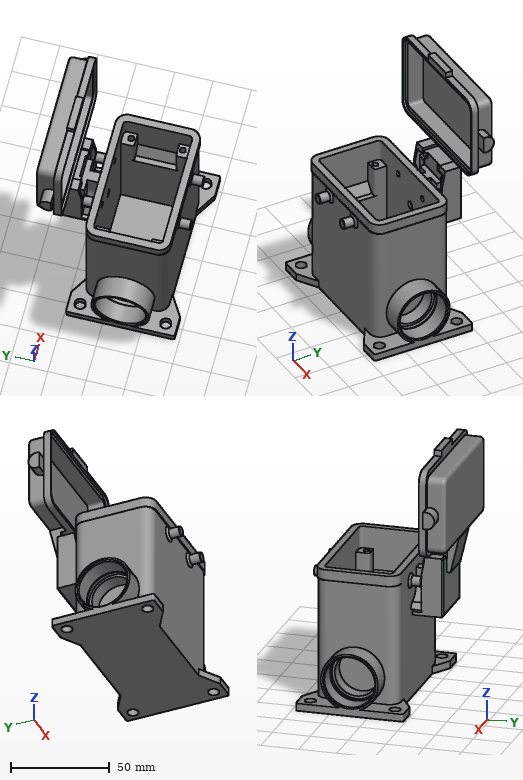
import cadquery as cq

BODY_X = 70.6
BODY_Y = 44.0
BODY_TOP = 73.2
BODY_RADIUS = 6.0
WALL = 4.0
CAVITY_RADIUS = 2.0
FLOOR = 4.0
RIM_HEIGHT = 5.6
RIM_STEP = 0.5
RIM_SIDE_STEP = 0.1

CAVITY_X = BODY_X - 2 * WALL
CAVITY_Y = BODY_Y - 2 * WALL
FRONT_Y = -BODY_Y / 2
BACK_Y = BODY_Y / 2

FLANGE_X = 93.5
FLANGE_Y = 56.7
FLANGE_THICK = 4.0
FLANGE_RADIUS = 1.1
FLANGE_TIP_X = 24.0
MOUNT_HOLE_DIA = 5.8
MOUNT_PITCH_X = 81.6
MOUNT_PITCH_Y = 44.7

POST_SIZE = 7.1
POST_RADIUS = 1.1
POST_TOP = 61.5
SCREW_HOLE_DIA = 3.1
SCREW_HOLE_DEPTH = 10.7
SCREW_PITCH_X = 56.5
SCREW_PITCH_Y = 27.0
LEDGE_TOP = 50.4
LEDGE_LOW = 45.2
LEDGE_SLOPE_X = 4.0

PORT_Z = 18.0
PORT_RADIUS = 15.1
PORT_BORE_RADIUS = 13.4
PORT_BORE_DEPTH = 10.4
PORT_CHAMFER = 0.7
PORT_NECK_RADIUS = 13.0
PORT_NECK_DEPTH = 12.6
KNOCKOUT_RADIUS = 11.5
KNOCKOUT_WALL = 2.0

PIN_X = 12.7
PIN_Z = 63.5
PIN_RADIUS = 2.61
PIN_TIP_CHAMFER = 0.3
PIN_COLLAR_RADIUS = 4.0
PIN_COLLAR_LENGTH = 1.1
FRONT_PIN_TIP = FLANGE_Y / 2
REAR_PIN_TIP = 28.1
RIVET_RADIUS = 1.5
RIVET_DEPTH = 1.3
HINGE_RIVET_RADIUS = 2.0
HINGE_RIVET_Z = 52.0

HINGE_X = 29.7
HINGE_FRONT_Y = 28.4
HINGE_BACK_Y = 39.9
HINGE_BOTTOM = 46.0
HINGE_TOP = 77.6
HINGE_CHAMFER = 0.8
HINGE_SLANT_Z = 68.2
HINGE_SLANT_Y = 30.1
HINGE_FOOT_Y = 23.7
HINGE_FOOT_THICK = 1.7
CHEEK = 1.6
HINGE_ROOF = 3.0
HINGE_BACK_WALL = 2.0
HINGE_CORE_TOP = 67.1
KNUCKLE_TOP = 74.2
KNUCKLE_FRONT_TOP = 70.2
KNUCKLE_FRONT_Y = 30.8
ARM_X = 17.7
NOTCH_DEPTH = 1.5
WINDOW_X = 11.8
WINDOW_Y = 31.4
WINDOW_FRAME_Y = 30.5
WINDOW_FRAME_BOTTOM = 72.9

LUG_TOP_X = 2.8
LUG_BEND_X = 5.0
LUG_SHOULDER_X = 9.9
LUG_BOTTOM_X = 12.7
LUG_FLARE_Z = 59.0
LUG_BEND_Z = 53.5
LUG_SHOULDER_Z = 51.1
LUG_BOTTOM = 48.0

LID_Z = 107.5
LID_RIM_X = 72.8
LID_RIM_Z = 46.3
LID_RIM_RADIUS = 6.2
LID_FRONT_Y = 33.5
LID_RIM_THICK = 3.9
LID_SHELL_X = 68.9
LID_SHELL_Z = 40.9
LID_SHELL_RADIUS = 3.6
LID_BACK_Y = 47.0
LID_EDGE_FILLET = 2.0
LID_LIP = 1.1
LID_LIP_DEPTH = 1.3
LID_POCKET_X = 65.5
LID_POCKET_Z = 39.2
LID_POCKET_RADIUS = 1.7
LID_FLOOR = 3.2
TAB_X = 18.5
TAB_TOP = 133.8
EAR_X = 83.7
EAR_RADIUS = 4.61
EAR_BACK_Y = 43.3
ARM_TOP_BACK_Y = 46.3
ARM_BOTTOM_BACK_Y = 41.9
ARM_FRONT_Y = 40.1
ARM_BOTTOM = 68.5


def box(x_range, y_range, z_range):
    """Axis-aligned block given by its limits."""
    size = [high - low for low, high in (x_range, y_range, z_range)]
    corner = cq.Vector(x_range[0], y_range[0], z_range[0])
    return cq.Workplane(cq.Solid.makeBox(*size, corner))


def rounded_block(x, y, radius, z_low, z_high):
    """Upright block with rounded vertical edges, centred on the Z axis."""
    block = box((-x / 2, x / 2), (-y / 2, y / 2), (z_low, z_high))
    return block.edges("|Z").fillet(radius)


def rod(center, direction, radius, length):
    return cq.Workplane(cq.Solid.makeCylinder(radius, length, cq.Vector(*center), cq.Vector(*direction)))


def lid_slab(x, z, radius, y_low, y_high):
    """Slab of the lid with rounded corners, centred on the lid."""
    slab = box((-x / 2, x / 2), (y_low, y_high), (LID_Z - z / 2, LID_Z + z / 2))
    return slab.edges("|Y").fillet(radius)


def side_profile(points, x_low, x_high):
    """Extrude a closed (Y, Z) outline along X."""
    return cq.Workplane("YZ").workplane(offset=x_low).polyline(points).close().extrude(x_high - x_low)


def both_sides(shape):
    return shape.union(shape.mirror("YZ"))


def make_flange():
    half_x, half_y = FLANGE_X / 2, FLANGE_Y / 2
    plate = box((-half_x, half_x), (-half_y, half_y), (0, FLANGE_THICK))
    plate = plate.edges("|Z").fillet(FLANGE_RADIUS)
    relief = (
        cq.Workplane("XY")
        .polyline([
            (-BODY_X / 2, half_y),
            (-FLANGE_TIP_X, BACK_Y - RIM_STEP),
            (FLANGE_TIP_X, BACK_Y - RIM_STEP),
            (BODY_X / 2, half_y),
        ])
        .close()
        .extrude(FLANGE_THICK)
    )
    plate = plate.cut(relief).cut(relief.mirror("XZ"))
    holes = (
        cq.Workplane("XY")
        .rect(MOUNT_PITCH_X, MOUNT_PITCH_Y, forConstruction=True)
        .vertices()
        .circle(MOUNT_HOLE_DIA / 2)
        .extrude(FLANGE_THICK)
    )
    return plate.cut(holes)


def make_shell():
    rim_bottom = BODY_TOP - RIM_HEIGHT
    rim = rounded_block(BODY_X, BODY_Y, BODY_RADIUS, rim_bottom, BODY_TOP)
    lower = rounded_block(BODY_X - 2 * RIM_SIDE_STEP, BODY_Y - RIM_STEP, BODY_RADIUS, 0, rim_bottom)
    return rim.union(lower.translate((0, RIM_STEP / 2, 0)))


def make_cavity():
    """Inner space of the housing, leaving the four posts and two ledges."""
    cavity = rounded_block(CAVITY_X, CAVITY_Y, CAVITY_RADIUS, FLOOR, BODY_TOP)
    wall_x = CAVITY_X / 2
    inner_x = wall_x - POST_SIZE
    wall_y = CAVITY_Y / 2
    post = box((inner_x, wall_x), (wall_y - POST_SIZE, wall_y), (FLOOR, POST_TOP))
    post = post.edges("|Z and <X and <Y").fillet(POST_RADIUS)
    ledge = (
        cq.Workplane("XZ", origin=(0, wall_y, 0))
        .polyline([
            (inner_x, FLOOR),
            (wall_x, FLOOR),
            (wall_x, LEDGE_TOP),
            (wall_x - LEDGE_SLOPE_X, LEDGE_LOW),
            (inner_x, LEDGE_LOW),
        ])
        .close()
        .extrude(CAVITY_Y)
    )
    inside = both_sides(ledge.union(post).union(post.mirror("XZ")))
    return cavity.cut(inside)


def make_screw_holes():
    return (
        cq.Workplane("XY", origin=(0, 0, POST_TOP - SCREW_HOLE_DEPTH))
        .rect(SCREW_PITCH_X, SCREW_PITCH_Y, forConstruction=True)
        .vertices()
        .circle(SCREW_HOLE_DIA / 2)
        .extrude(SCREW_HOLE_DEPTH)
    )


def make_port_tubes():
    root_x = BODY_X / 2 - WALL / 2
    length = FLANGE_X / 2 - root_x
    tube = rod((root_x, 0, PORT_Z), (1, 0, 0), PORT_RADIUS, length)
    return both_sides(tube)


def make_port_bores():
    """Stepped blind bores with a chamfered mouth."""
    mouth = (FLANGE_X / 2, 0, PORT_Z)
    inward = (-1, 0, 0)
    bore = rod(mouth, inward, PORT_BORE_RADIUS, PORT_BORE_DEPTH)
    neck = rod(mouth, inward, PORT_NECK_RADIUS, PORT_NECK_DEPTH)
    knockout_end = CAVITY_X / 2 - POST_SIZE + KNOCKOUT_WALL
    knockout = rod(mouth, inward, KNOCKOUT_RADIUS, FLANGE_X / 2 - knockout_end)
    chamfer = cq.Workplane(cq.Solid.makeCone(
        PORT_BORE_RADIUS + PORT_CHAMFER, PORT_BORE_RADIUS, PORT_CHAMFER,
        cq.Vector(*mouth), cq.Vector(*inward),
    ))
    return both_sides(bore.union(neck).union(knockout).union(chamfer))


def make_pin(root_y, length, outward):
    """Latch pin with a conical collar, standing on the wall at root_y."""
    root = (PIN_X, root_y, PIN_Z)
    direction = (0, outward, 0)
    pin = rod(root, direction, PIN_RADIUS, length)
    pin = pin.faces(">Y" if outward > 0 else "<Y").chamfer(PIN_TIP_CHAMFER)
    collar = cq.Workplane(cq.Solid.makeCone(
        PIN_COLLAR_RADIUS, PIN_RADIUS, PIN_COLLAR_LENGTH, cq.Vector(*root), cq.Vector(*direction),
    ))
    return pin.union(collar)


def make_pins():
    front_root = FRONT_Y + RIM_STEP
    front = make_pin(front_root, FRONT_PIN_TIP + front_root, -1)
    rear = make_pin(BACK_Y, REAR_PIN_TIP - BACK_Y, 1)
    return both_sides(front).union(both_sides(rear))


def make_rivet_recesses():
    """Shallow round recesses on the inner rear wall."""
    inner_y = CAVITY_Y / 2
    outward = (0, 1, 0)
    pin_recess = rod((PIN_X, inner_y, PIN_Z), outward, RIVET_RADIUS, RIVET_DEPTH)
    hinge_recess = rod((0, inner_y, HINGE_RIVET_Z), outward, HINGE_RIVET_RADIUS, RIVET_DEPTH)
    return both_sides(pin_recess).union(hinge_recess)


def make_hinge():
    half_x = HINGE_X / 2
    foot_top = HINGE_BOTTOM + HINGE_FOOT_THICK
    block = side_profile(
        [
            (HINGE_BACK_Y, HINGE_BOTTOM),
            (HINGE_BACK_Y, HINGE_TOP),
            (HINGE_SLANT_Y, HINGE_TOP),
            (HINGE_FRONT_Y, HINGE_SLANT_Z),
            (HINGE_FRONT_Y, foot_top),
            (HINGE_FOOT_Y, foot_top),
            (HINGE_FOOT_Y, HINGE_BOTTOM),
        ],
        -half_x, half_x,
    )
    block = block.faces(">Y").edges().chamfer(HINGE_CHAMFER)

    pocket_x = half_x - CHEEK
    pocket_back = HINGE_BACK_Y - HINGE_BACK_WALL
    notch_floor = HINGE_TOP - NOTCH_DEPTH
    arm_x = (-ARM_X / 2, ARM_X / 2)

    pocket = box((ARM_X / 2, pocket_x), (HINGE_FRONT_Y, pocket_back), (foot_top, HINGE_TOP - HINGE_ROOF))
    knuckle = side_profile(
        [
            (KNUCKLE_FRONT_Y, foot_top),
            (pocket_back, foot_top),
            (pocket_back, KNUCKLE_TOP),
            (KNUCKLE_FRONT_Y, KNUCKLE_FRONT_TOP),
        ],
        ARM_X / 2, pocket_x,
    )

    notch = box(arm_x, (HINGE_FRONT_Y, HINGE_BACK_Y), (notch_floor, HINGE_TOP))
    frame_gap = box(arm_x, (HINGE_FRONT_Y, WINDOW_FRAME_Y), (HINGE_CORE_TOP, HINGE_TOP))
    below_teeth = box(arm_x, (HINGE_FRONT_Y, WINDOW_Y), (HINGE_CORE_TOP, WINDOW_FRAME_BOTTOM))
    window = box((-WINDOW_X / 2, WINDOW_X / 2), (HINGE_FRONT_Y, WINDOW_Y), (HINGE_CORE_TOP, HINGE_TOP))

    block = block.cut(pocket).cut(pocket.mirror("YZ"))
    block = block.cut(notch).cut(frame_gap).cut(below_teeth).cut(window)
    return block.union(knuckle).union(knuckle.mirror("YZ"))


def make_hinge_lug():
    """Upright lug on the rear wall, flaring out to both sides at its base."""
    return (
        cq.Workplane("XZ", origin=(0, HINGE_FRONT_Y, 0))
        .moveTo(-LUG_TOP_X, HINGE_CORE_TOP)
        .lineTo(LUG_TOP_X, HINGE_CORE_TOP)
        .lineTo(LUG_TOP_X, LUG_FLARE_Z)
        .threePointArc((LUG_BEND_X, LUG_BEND_Z), (LUG_SHOULDER_X, LUG_SHOULDER_Z))
        .lineTo(LUG_BOTTOM_X, LUG_BOTTOM)
        .lineTo(-LUG_BOTTOM_X, LUG_BOTTOM)
        .lineTo(-LUG_SHOULDER_X, LUG_SHOULDER_Z)
        .threePointArc((-LUG_BEND_X, LUG_BEND_Z), (-LUG_TOP_X, LUG_FLARE_Z))
        .close()
        .extrude(HINGE_FRONT_Y - BACK_Y)
    )


def make_arm():
    """Tapered arm from the lid shell down to the hinge."""
    shell_bottom = LID_Z - LID_SHELL_Z / 2
    rim_bottom = LID_Z - LID_RIM_Z / 2
    return side_profile(
        [
            (ARM_TOP_BACK_Y, shell_bottom),
            (ARM_BOTTOM_BACK_Y, ARM_BOTTOM),
            (HINGE_BACK_Y, ARM_BOTTOM),
            (HINGE_BACK_Y, HINGE_TOP - NOTCH_DEPTH),
            (ARM_FRONT_Y, HINGE_TOP - NOTCH_DEPTH),
            (ARM_FRONT_Y, rim_bottom),
            (LID_FRONT_Y + LID_RIM_THICK, rim_bottom),
            (LID_FRONT_Y + LID_RIM_THICK, shell_bottom),
        ],
        -ARM_X / 2, ARM_X / 2,
    )


def make_lid():
    rim_back = LID_FRONT_Y + LID_RIM_THICK
    rim = lid_slab(LID_RIM_X, LID_RIM_Z, LID_RIM_RADIUS, LID_FRONT_Y, rim_back)
    shell = lid_slab(LID_SHELL_X, LID_SHELL_Z, LID_SHELL_RADIUS, LID_FRONT_Y, LID_BACK_Y)
    shell = shell.faces(">Y").edges().fillet(LID_EDGE_FILLET)

    tab = box((-TAB_X / 2, TAB_X / 2), (LID_FRONT_Y, rim_back), (LID_Z, TAB_TOP))

    ears = rod((-EAR_X / 2, EAR_BACK_Y - EAR_RADIUS, LID_Z), (1, 0, 0), EAR_RADIUS, EAR_X)
    ears = ears.intersect(box(
        (-EAR_X / 2, EAR_X / 2), (rim_back, EAR_BACK_Y), (LID_Z - EAR_RADIUS, LID_Z + EAR_RADIUS),
    ))

    recess = lid_slab(
        LID_RIM_X - 2 * LID_LIP, LID_RIM_Z - 2 * LID_LIP, LID_RIM_RADIUS - LID_LIP,
        LID_FRONT_Y, LID_FRONT_Y + LID_LIP_DEPTH,
    )
    pocket = lid_slab(
        LID_POCKET_X, LID_POCKET_Z, LID_POCKET_RADIUS, LID_FRONT_Y, LID_BACK_Y - LID_FLOOR,
    )
    return rim.union(shell).union(tab).union(ears).cut(recess).cut(pocket)


housing = make_shell().union(make_flange()).union(make_port_tubes())
housing = housing.cut(make_cavity()).cut(make_screw_holes()).cut(make_port_bores())
housing = housing.union(make_pins()).cut(make_rivet_recesses())

result = housing.union(make_hinge_lug()).union(make_hinge()).union(make_arm()).union(make_lid())